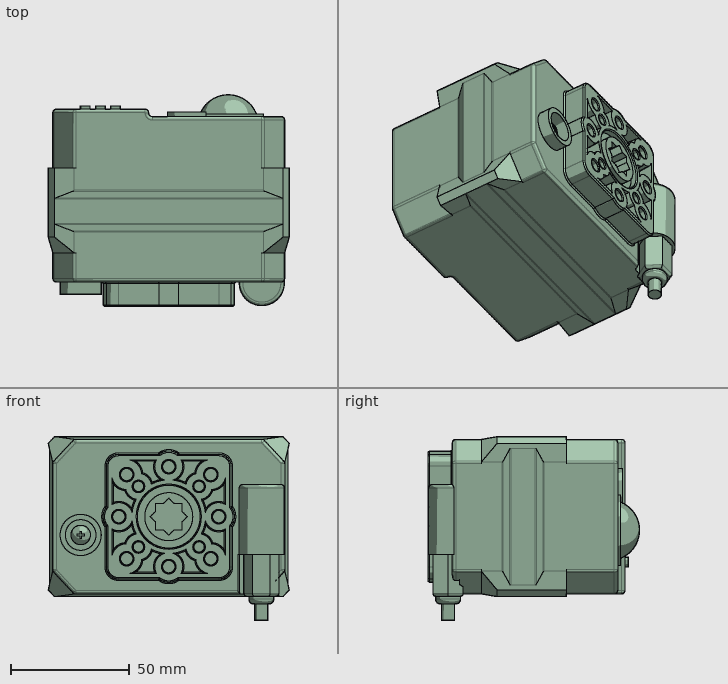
import cadquery as cq
import math


BODY_HALF_X = 48.75
BODY_HALF_Z = 32.5
BODY_FRONT_Y = -29.75
BODY_REAR_Y = 42.9
BODY_CORNER_X = 39.75
BODY_CORNER_Z = 22.9
CHAMFER_EDGE_RADIUS = 1.6
END_EDGE_RADIUS = 1.5

REAR_STEP_Y = 39.8
REAR_STEP_X = -8.4
STEP_OUTER_RADIUS = 1.55
STEP_INNER_RADIUS = 1.5

PAD_HALF_X = 50.68
PAD_HALF_Z = 33.65
PAD_CORNER_X = 48.0
PAD_CORNER_Z = 30.8
PAD_REAR_Y = 18.2
PAD_FRONT_Y = -10.9
PAD_TIP_Y = -17.55
RIDGE_BASE_HALF = 8.6
RIDGE_CREST_HALF = 5.4
RIDGE_FOOT = 1.5
RIDGE_FILLET = 1.3
SIDE_RIDGE_HALF_Z = 28.75

FLANGE_FRONT_Y = -40.0
FLANGE_HALF = 26.2
FLANGE_CORNER_RADIUS = 5.0
FLANGE_FOOT = 0.6
FLANGE_RIM = 0.6
LOBE_CIRCLE_RADIUS = 21.0
LOBE_RADIUS = 6.6
OUTER_CIRCLE_RADIUS = 25.0
OUTER_BOSS_RADIUS = 6.3
INNER_CIRCLE_RADIUS = 18.0
INNER_BOSS_RADIUS = 5.5
LARGE_HOLE_RADIUS = 2.6
SMALL_HOLE_RADIUS = 2.2
HOLE_CHAMFER = 0.45
HOLE_DEPTH = 9.0
POCKET_HALF = 23.8
POCKET_LOBE_RADIUS = 5.9
POCKET_DEPTH = 8.0
POCKET_DRAFT = 0.5
HUB_RADIUS = 15.5

GROOVE_OUTER_RADIUS = 13.2
GROOVE_INNER_RADIUS = 10.1
GROOVE_CHAMFER = 0.5
GROOVE_DEPTH = 3.0
SOCKET_SQUARE = 11.0
SOCKET_DEPTH = 20.0

WELL_X = -37.0
WELL_Z = -7.7
WELL_FRONT_Y = -34.95
WELL_OUTER_RADIUS = 8.65
WELL_INNER_RADIUS = 6.45
SCREW_HEAD_RADIUS = 4.1
SCREW_HEAD_HEIGHT = 3.0
CROSS_LENGTH = 3.0
CROSS_WIDTH = 0.8
CROSS_DEPTH = 1.2

GLAND_X = 39.1
GLAND_Y = -30.2
GLAND_RADIUS = 9.5
GLAND_TOP_Z = 13.55
GLAND_BOTTOM_Z = -15.9
GLAND_TOP_FILLET = 1.5
CABLE_X = 38.9
CABLE_Y = -31.5
HEX_ACROSS_CORNERS = 14.7
HEX_BOTTOM_Z = -33.5
HEX_FILLET = 1.2
NUT_RADIUS = 5.25
NUT_BOTTOM_Z = -36.7
NUT_FILLET = 2.0
CABLE_RADIUS = 2.8
CABLE_BOTTOM_Z = -43.6
RECESS_LEFT_X = 29.0
RECESS_FLOOR_LEFT_X = 31.4
RECESS_RIGHT_X = 45.0
RECESS_DEPTH = 3.0
RECESS_EDGE_WIDTH = 0.7
RECESS_EDGE_DEPTH = 0.3

DOME_X = 25.0
DOME_Z = -5.7
DOME_TOP_Y = 49.0
DOME_BASE_RADIUS = 11.9
DOME_PLATE_RADIUS = 14.9
DOME_PLATE_Y = 40.9
DISC_X = 7.6
DISC_Z = 12.0
DISC_RADIUS = 8.15
DISC_Y = 41.75
BUTTON_RADIUS = 2.1
BUTTON_Z = -19.15
BUTTON_COUNT = 3
BUTTON_FIRST_X = -35.1
BUTTON_PITCH = 6.35
BUTTON_Y = 44.25

EMBED = 1.0
CLEARANCE = 5.0


def plane_y(y):
    """Sketch plane at the given Y: local x is X, local y is Z, extruding toward -Y."""
    return cq.Workplane("XZ", origin=(0, y, 0))


def disc(x, z, radius, y_rear, y_front):
    return plane_y(y_rear).center(x, z).circle(radius).extrude(y_rear - y_front)


def cone(x, z, rear_radius, front_radius, y_rear, y_front):
    """Round boss along Y whose radius changes linearly from its rear to its front end."""
    return cq.Workplane(cq.Solid.makeCone(
        rear_radius, front_radius, y_rear - y_front,
        pnt=cq.Vector(x, y_rear, z), dir=cq.Vector(0, -1, 0)))


def four_around(radius, start_angle):
    angles = [math.radians(start_angle + 90 * i) for i in range(4)]
    return [(radius * math.cos(a), radius * math.sin(a)) for a in angles]


LOBE_CENTRES = four_around(LOBE_CIRCLE_RADIUS, 0)
OUTER_CENTRES = four_around(OUTER_CIRCLE_RADIUS, 45)
INNER_CENTRES = four_around(INNER_CIRCLE_RADIUS, 45)


def make_body():
    octagon = [
        (BODY_HALF_X, BODY_CORNER_Z), (BODY_CORNER_X, BODY_HALF_Z),
        (-BODY_CORNER_X, BODY_HALF_Z), (-BODY_HALF_X, BODY_CORNER_Z),
        (-BODY_HALF_X, -BODY_CORNER_Z), (-BODY_CORNER_X, -BODY_HALF_Z),
        (BODY_CORNER_X, -BODY_HALF_Z), (BODY_HALF_X, -BODY_CORNER_Z),
    ]
    body = plane_y(BODY_REAR_Y).polyline(octagon).close().extrude(BODY_REAR_Y - BODY_FRONT_Y)
    body = body.edges("|Y").fillet(CHAMFER_EDGE_RADIUS)

    rise = BODY_REAR_Y - REAR_STEP_Y
    diag = math.sqrt(0.5)
    outer_x = REAR_STEP_X - STEP_OUTER_RADIUS
    outer_y = BODY_REAR_Y - STEP_OUTER_RADIUS
    inner_x = REAR_STEP_X + STEP_INNER_RADIUS
    inner_y = REAR_STEP_Y + STEP_INNER_RADIUS
    far_x = BODY_HALF_X + CLEARANCE
    step = (
        cq.Workplane("XY", origin=(0, 0, -BODY_HALF_Z - CLEARANCE))
        .moveTo(outer_x, BODY_REAR_Y)
        .threePointArc((outer_x + STEP_OUTER_RADIUS * diag, outer_y + STEP_OUTER_RADIUS * diag),
                       (REAR_STEP_X, outer_y))
        .lineTo(REAR_STEP_X, inner_y)
        .threePointArc((inner_x - STEP_INNER_RADIUS * diag, inner_y - STEP_INNER_RADIUS * diag),
                       (inner_x, REAR_STEP_Y))
        .lineTo(far_x, REAR_STEP_Y)
        .lineTo(far_x, BODY_REAR_Y + rise)
        .lineTo(outer_x, BODY_REAR_Y + rise)
        .close()
        .extrude(2 * (BODY_HALF_Z + CLEARANCE))
    )
    body = body.cut(step)
    body = body.faces("<Y").edges().fillet(END_EDGE_RADIUS)
    return body.faces(">Y").edges("<X").fillet(END_EDGE_RADIUS)


def make_corner_pad():
    """Pad on the +X +Z corner, with its front end sloped down to the corner chamfer."""
    root_x = BODY_CORNER_X - EMBED
    root_z = BODY_CORNER_Z - EMBED
    section = [
        (BODY_CORNER_X, BODY_HALF_Z), (PAD_CORNER_X, PAD_HALF_Z), (PAD_HALF_X, PAD_CORNER_Z),
        (BODY_HALF_X, BODY_CORNER_Z), (BODY_HALF_X, root_z),
        (root_x, root_z), (root_x, BODY_HALF_Z),
    ]
    pad = plane_y(PAD_REAR_Y).polyline(section).close().extrude(PAD_REAR_Y - PAD_TIP_Y)

    run = BODY_HALF_X - BODY_CORNER_X
    drop = BODY_HALF_Z - BODY_CORNER_Z
    length = math.hypot(run, drop)
    normal = (drop / length, run / length)
    inner = BODY_HALF_X * normal[0] + BODY_CORNER_Z * normal[1]
    outer = max(PAD_CORNER_X * normal[0] + PAD_HALF_Z * normal[1],
                PAD_HALF_X * normal[0] + PAD_CORNER_Z * normal[1])
    slope = (outer - inner) / (PAD_FRONT_Y - PAD_TIP_Y)
    frame = cq.Plane(origin=(0, 0, 0), xDir=(normal[0], 0, normal[1]),
                     normal=(-normal[1], 0, normal[0]))
    y_sign = frame.yDir.y
    reach = outer + slope * CLEARANCE
    cutter = (
        cq.Workplane(frame)
        .polyline([
            (reach, y_sign * (PAD_FRONT_Y + CLEARANCE)),
            (inner - slope * CLEARANCE, y_sign * (PAD_TIP_Y - CLEARANCE)),
            (reach, y_sign * (PAD_TIP_Y - CLEARANCE)),
        ])
        .close()
        .extrude(2 * PAD_HALF_X, both=True)
    )
    return pad.cut(cutter)


def add_pads(body):
    pad = make_corner_pad()
    right = pad.union(pad.mirror("XY"))
    return body.union(right).union(right.mirror("YZ"))


def make_ridge(base, crest, half_length):
    """Trapezoidal ridge along X, rounded at its crest and into the housing face z = base."""
    foot = RIDGE_BASE_HALF + RIDGE_FOOT
    profile = [
        (-foot, base - EMBED), (-foot, base), (-RIDGE_BASE_HALF, base), (-RIDGE_CREST_HALF, crest),
        (RIDGE_CREST_HALF, crest), (RIDGE_BASE_HALF, base), (foot, base), (foot, base - EMBED),
    ]
    ridge = cq.Workplane("YZ").polyline(profile).close().extrude(half_length, both=True)
    inner_strip = cq.selectors.BoxSelector(
        (-half_length, -foot + EMBED / 2, base - EMBED / 2),
        (half_length, foot - EMBED / 2, crest + EMBED / 2))
    return ridge.edges("|X").edges(inner_strip).fillet(RIDGE_FILLET)


def add_ridges(body):
    top = make_ridge(BODY_HALF_Z, PAD_HALF_Z, PAD_CORNER_X)
    climb = (SIDE_RIDGE_HALF_Z - BODY_CORNER_Z) / (PAD_CORNER_Z - BODY_CORNER_Z)
    side_crest = BODY_HALF_X + climb * (PAD_HALF_X - BODY_HALF_X)
    side = make_ridge(BODY_HALF_X, side_crest, SIDE_RIDGE_HALF_Z).rotate((0, 0, 0), (0, 1, 0), 90)
    for ridge in (top, top.mirror("XY"), side, side.mirror("YZ")):
        body = body.union(ridge)
    return body


def flange_plate(growth, y_front, rim):
    """Rounded square with four round lobes; rim is the chamfer around its front face."""
    y_rear = BODY_FRONT_Y + EMBED
    side = 2 * (FLANGE_HALF + growth)
    square = (plane_y(y_rear).rect(side, side).extrude(y_rear - y_front)
              .edges("|Y").fillet(FLANGE_CORNER_RADIUS + growth))
    lobes = [disc(x, z, LOBE_RADIUS + growth, y_rear, y_front) for x, z in LOBE_CENTRES]
    plate = square.faces("<Y").edges().chamfer(rim)
    for lobe in lobes:
        plate = plate.union(lobe.faces("<Y").edges().chamfer(rim))
    return plate


def make_pockets():
    """Drafted pockets left between the lobes, the bolt bosses and the hub."""
    floor_y = FLANGE_FRONT_Y + POCKET_DEPTH
    floor_side = 2 * (POCKET_HALF - POCKET_DRAFT)
    rim_side = 2 * POCKET_HALF
    pockets = (plane_y(floor_y).rect(floor_side, floor_side)
               .workplane(offset=POCKET_DEPTH).rect(rim_side, rim_side).loft(combine=True))
    groups = (
        (LOBE_CENTRES, POCKET_LOBE_RADIUS),
        (OUTER_CENTRES, OUTER_BOSS_RADIUS),
        (INNER_CENTRES, INNER_BOSS_RADIUS),
        ([(0, 0)], HUB_RADIUS),
    )
    for centres, radius in groups:
        for x, z in centres:
            wall = cone(x, z, radius + POCKET_DRAFT, radius, floor_y, FLANGE_FRONT_Y)
            pockets = pockets.cut(wall)

    for x, z in OUTER_CENTRES:
        block_x = x + math.copysign(POCKET_HALF / 2, x)
        block_z = z + math.copysign(POCKET_HALF / 2, z)
        block = (plane_y(floor_y).center(block_x, block_z)
                 .rect(POCKET_HALF, POCKET_HALF).extrude(POCKET_DEPTH))
        pockets = pockets.cut(block)
    return pockets


def chamfered_hole(x, z, radius):
    hole = disc(x, z, radius, FLANGE_FRONT_Y + HOLE_DEPTH, FLANGE_FRONT_Y)
    lead_in = cone(x, z, radius, radius + HOLE_CHAMFER, FLANGE_FRONT_Y + HOLE_CHAMFER, FLANGE_FRONT_Y)
    return hole.union(lead_in)


def make_flange():
    flange = flange_plate(0, FLANGE_FRONT_Y, FLANGE_RIM)
    foot = flange_plate(FLANGE_FOOT, BODY_FRONT_Y - FLANGE_FOOT, FLANGE_FOOT)
    flange = flange.union(foot).cut(make_pockets())
    for x, z in LOBE_CENTRES + OUTER_CENTRES:
        flange = flange.cut(chamfered_hole(x, z, LARGE_HOLE_RADIUS))
    for x, z in INNER_CENTRES:
        flange = flange.cut(chamfered_hole(x, z, SMALL_HOLE_RADIUS))

    groove_floor = FLANGE_FRONT_Y + GROOVE_DEPTH
    groove = disc(0, 0, GROOVE_OUTER_RADIUS, groove_floor, FLANGE_FRONT_Y)
    groove = groove.union(cone(0, 0, GROOVE_OUTER_RADIUS, GROOVE_OUTER_RADIUS + GROOVE_CHAMFER,
                               FLANGE_FRONT_Y + GROOVE_CHAMFER, FLANGE_FRONT_Y))
    return flange.cut(groove.cut(disc(0, 0, GROOVE_INNER_RADIUS, groove_floor, FLANGE_FRONT_Y)))


def cut_socket(body):
    """Eight-pointed star socket made of two squares turned by 45 degrees."""
    square = (plane_y(FLANGE_FRONT_Y + SOCKET_DEPTH)
              .rect(SOCKET_SQUARE, SOCKET_SQUARE).extrude(SOCKET_DEPTH))
    return body.cut(square).cut(square.rotate((0, 0, 0), (0, 1, 0), 45))


def spherical_cap(x, z, base_y, base_radius, height, direction):
    """Cap standing on the plane y = base_y and bulging toward direction * Y."""
    radius = (base_radius ** 2 + height ** 2) / (2 * height)
    ball = cq.Workplane(cq.Solid.makeSphere(
        radius, cq.Vector(x, base_y + direction * (height - radius), z),
        cq.Vector(0, direction, 0), -90, 90, 360))
    keep = disc(x, z, base_radius + CLEARANCE, base_y + height, base_y)
    if direction < 0:
        keep = disc(x, z, base_radius + CLEARANCE, base_y, base_y - height)
    return ball.intersect(keep)


def add_screw_well(body):
    body = body.union(disc(WELL_X, WELL_Z, WELL_OUTER_RADIUS, BODY_FRONT_Y + EMBED, WELL_FRONT_Y))
    body = body.cut(disc(WELL_X, WELL_Z, WELL_INNER_RADIUS, BODY_FRONT_Y, WELL_FRONT_Y))
    body = body.union(disc(WELL_X, WELL_Z, SCREW_HEAD_RADIUS, BODY_FRONT_Y + EMBED, BODY_FRONT_Y))
    body = body.union(spherical_cap(WELL_X, WELL_Z, BODY_FRONT_Y, SCREW_HEAD_RADIUS,
                                    SCREW_HEAD_HEIGHT, -1))
    cross = plane_y(BODY_FRONT_Y - SCREW_HEAD_HEIGHT + CROSS_DEPTH).center(WELL_X, WELL_Z)
    body = body.cut(cross.rect(CROSS_LENGTH, CROSS_WIDTH).extrude(CROSS_DEPTH))
    return body.cut(cross.rect(CROSS_WIDTH, CROSS_LENGTH).extrude(CROSS_DEPTH))


def cut_gland_recess(body):
    """Relief in the front face around the hexagon, open at the bottom."""
    floor_y = BODY_FRONT_Y + RECESS_DEPTH
    recess = (
        cq.Workplane("XY", origin=(0, 0, GLAND_BOTTOM_Z))
        .polyline([
            (RECESS_LEFT_X, BODY_FRONT_Y),
            (RECESS_LEFT_X + RECESS_EDGE_WIDTH, BODY_FRONT_Y + RECESS_EDGE_DEPTH),
            (RECESS_FLOOR_LEFT_X, floor_y),
            (RECESS_RIGHT_X, floor_y),
            (RECESS_RIGHT_X, BODY_FRONT_Y),
        ])
        .close()
        .extrude(-PAD_HALF_Z - GLAND_BOTTOM_Z)
    )
    return body.cut(recess)


def add_gland(body):
    cylinder = (cq.Workplane("XY", origin=(GLAND_X, GLAND_Y, GLAND_BOTTOM_Z))
                .circle(GLAND_RADIUS).extrude(GLAND_TOP_Z - GLAND_BOTTOM_Z)
                .faces(">Z").edges().fillet(GLAND_TOP_FILLET))
    inside_corner = (GLAND_X - GLAND_RADIUS, BODY_FRONT_Y + END_EDGE_RADIUS, GLAND_BOTTOM_Z)
    inside = (cq.Workplane("XY", origin=inside_corner)
              .rect(2 * GLAND_RADIUS, -2 * GLAND_RADIUS, centered=False)
              .extrude(GLAND_TOP_Z - GLAND_BOTTOM_Z))
    cylinder = cylinder.intersect(inside)

    start_z = GLAND_BOTTOM_Z + EMBED
    cable_axis = (CABLE_X, CABLE_Y, start_z)
    hexagon = (cq.Workplane("XY", origin=cable_axis)
               .polygon(6, HEX_ACROSS_CORNERS).extrude(HEX_BOTTOM_Z - start_z)
               .faces("<Z").edges().fillet(HEX_FILLET))
    nut = (cq.Workplane("XY", origin=cable_axis).circle(NUT_RADIUS).extrude(NUT_BOTTOM_Z - start_z)
           .faces("<Z").edges().fillet(NUT_FILLET))
    cable = cq.Workplane("XY", origin=cable_axis).circle(CABLE_RADIUS).extrude(CABLE_BOTTOM_Z - start_z)
    return body.union(cylinder).union(hexagon).union(nut).union(cable)


def add_rear_fittings(body):
    body = body.union(disc(DISC_X, DISC_Z, DISC_RADIUS, DISC_Y, REAR_STEP_Y - EMBED))
    body = body.union(disc(DOME_X, DOME_Z, DOME_PLATE_RADIUS, DOME_PLATE_Y, REAR_STEP_Y - EMBED))
    body = body.union(spherical_cap(DOME_X, DOME_Z, DOME_PLATE_Y, DOME_BASE_RADIUS,
                                    DOME_TOP_Y - DOME_PLATE_Y, 1))
    for i in range(BUTTON_COUNT):
        x = BUTTON_FIRST_X + i * BUTTON_PITCH
        body = body.union(disc(x, BUTTON_Z, BUTTON_RADIUS, BUTTON_Y, BODY_REAR_Y - EMBED))
    return body


housing = add_ridges(add_pads(make_body()))
housing = cut_socket(housing.union(make_flange()))
housing = add_screw_well(housing)
housing = add_gland(cut_gland_recess(housing))
result = add_rear_fittings(housing)